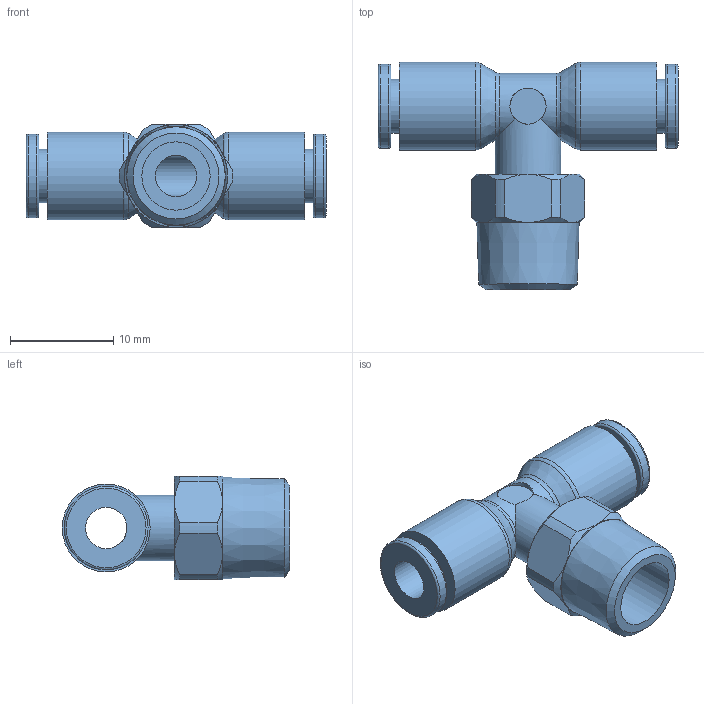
import cadquery as cq
import math


run_length = 29.0
sleeve_diameter = 8.5
sleeve_end = 12.45
collar_diameter = 8.1
collar_width = 1.25
collar_round = 0.2
neck_diameter = 5.2
waist_diameter = 6.35
shoulder_end = 4.82
shoulder_angle = 30.0
shoulder_round = 0.84
bore_diameter = 4.0

branch_end = 17.75
thread_length = 6.5
hex_length = 4.65
hex_across_flats = 10.0
hex_corner_diameter = 11.0
gauge_diameter = 9.728
gauge_length = 4.0
thread_taper = 1 / 16
thread_end_diameter = 8.3
thread_chamfer_length = 0.55
counterbore_diameter = 6.6
counterbore_depth = thread_length

badge_diameter = 3.5
badge_floor_height = 2.69

hex_front = branch_end - thread_length
hex_back = hex_front - hex_length


def branch_cylinder(diameter, start, end):
    """Cylinder on the branch axis between two distances from the run axis."""
    plane = cq.Workplane("XZ", origin=(0, -start, 0))
    return plane.circle(diameter / 2).extrude(end - start)


def half_run():
    """The +X half of the run, revolved from its outline of (distance, radius) points."""
    waist_radius = waist_diameter / 2
    sleeve_radius = sleeve_diameter / 2
    slope = math.radians(shoulder_angle)
    shoulder_start = shoulder_end - (sleeve_radius - waist_radius) / math.tan(slope)

    tangent = shoulder_round * math.tan(slope / 2)
    tangent_x = tangent * math.cos(slope)
    tangent_r = tangent * math.sin(slope)

    mid_gap = shoulder_round * (1 / math.cos(slope / 2) - 1)
    mid_x = mid_gap * math.sin(slope / 2)
    mid_r = mid_gap * math.cos(slope / 2)

    body = (
        cq.Workplane("XY")
        .lineTo(0, waist_radius)
        .lineTo(shoulder_start - tangent, waist_radius)
        .threePointArc(
            (shoulder_start - mid_x, waist_radius + mid_r),
            (shoulder_start + tangent_x, waist_radius + tangent_r),
        )
        .lineTo(shoulder_end - tangent_x, sleeve_radius - tangent_r)
        .threePointArc(
            (shoulder_end + mid_x, sleeve_radius - mid_r),
            (shoulder_end + tangent, sleeve_radius),
        )
        .lineTo(sleeve_end, sleeve_radius)
        .lineTo(sleeve_end, 0)
        .close()
        .revolve(360, (0, 0, 0), (1, 0, 0))
    )

    collar_start = run_length / 2 - collar_width
    neck = (
        cq.Workplane("YZ", origin=(sleeve_end, 0, 0))
        .circle(neck_diameter / 2)
        .extrude(collar_start - sleeve_end)
    )
    collar = (
        cq.Workplane("YZ", origin=(collar_start, 0, 0))
        .circle(collar_diameter / 2)
        .extrude(collar_width)
        .edges()
        .fillet(collar_round)
    )
    return body.union(neck).union(collar)


def hex_nut():
    """Hexagon with flats facing +Z and -Z, turned and chamfered at both ends."""
    across_corners = hex_across_flats / math.cos(math.pi / 6)
    prism = (
        cq.Workplane("XZ", origin=(0, -hex_back, 0))
        .polygon(6, across_corners)
        .extrude(hex_length)
    )
    chamfer = (hex_corner_diameter - hex_across_flats) / 2
    turned = branch_cylinder(hex_corner_diameter, hex_back, hex_front).edges().chamfer(chamfer)
    return prism.intersect(turned)


def taper_thread():
    """Plain tapered body of the thread with its lead-in chamfer."""

    def radius_at(distance_to_end):
        return (gauge_diameter + (distance_to_end - gauge_length) * thread_taper) / 2

    return (
        cq.Workplane("XY")
        .moveTo(0, -hex_front)
        .lineTo(radius_at(thread_length), -hex_front)
        .lineTo(radius_at(thread_chamfer_length), -branch_end + thread_chamfer_length)
        .lineTo(thread_end_diameter / 2, -branch_end)
        .lineTo(0, -branch_end)
        .close()
        .revolve(360, (0, 0, 0), (0, 1, 0))
    )


def bores():
    """Through bore of the run, branch bore and the branch counterbore."""
    run_bore = (
        cq.Workplane("YZ", origin=(-run_length / 2, 0, 0))
        .circle(bore_diameter / 2)
        .extrude(run_length)
    )
    branch_bore = branch_cylinder(bore_diameter, 0, branch_end)
    counterbore = branch_cylinder(counterbore_diameter, branch_end - counterbore_depth, branch_end)
    return run_bore.union(branch_bore).union(counterbore)


def badge_recess():
    """Flat-floored round recess above the crossing of run and branch."""
    return (
        cq.Workplane("XY", origin=(0, 0, badge_floor_height))
        .circle(badge_diameter / 2)
        .extrude(waist_diameter / 2)
    )


run_half = half_run()
stem = branch_cylinder(waist_diameter, 0, hex_back)

result = (
    run_half.union(run_half.mirror("YZ"))
    .union(stem)
    .union(hex_nut())
    .union(taper_thread())
    .cut(bores())
    .cut(badge_recess())
)